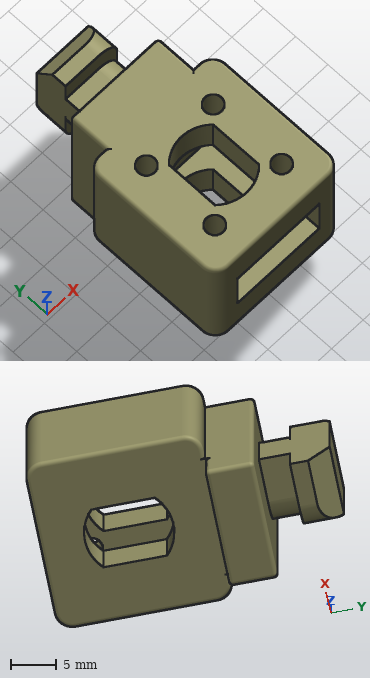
import cadquery as cq

block_width = 20.0
block_depth = 20.0
block_height = 16.0
corner_radius = 2.0
edge_radius = 0.5

tab_width = 14.0
tab_depth = 5.5
tab_height = 20.0

overall_depth = 33.5
hook_width = 8.2
hook_corner_radius = 3.0
head_depth = 4.5
head_height = 13.75
head_bevel_depth = 2.45
head_bevel_height = 3.0
neck_height = 7.45

pocket_width = 13.0
pocket_height = 6.0

opening_diameter = 10.0
opening_width = 7.0

screw_count = 4
screw_start_angle = 45
screw_diameter = 2.5
screw_circle_diameter = 15.0

top_z = block_height / 2
bottom_z = -top_z
tab_back_y = block_depth + tab_depth
head_front_y = overall_depth - head_depth
opening_y = block_depth / 2
pocket_depth = opening_y + pocket_width / 2
screw_depth = (block_height - pocket_height) / 2


def box(width, depth, height, front_y, low_z):
    """Box centred on X, starting at front_y and low_z."""
    solid = cq.Workplane("XY").box(width, depth, height, centered=(True, False, False))
    return solid.translate((0, front_y, low_z))


def make_housing():
    """Rounded block and upper tab sharing one top face, with the tab leg hanging below."""
    block = box(block_width, block_depth, block_height, 0, bottom_z)
    block = block.edges("|Z").fillet(corner_radius).faces("<Z").edges().fillet(edge_radius)
    upper_tab = box(tab_width, tab_back_y - opening_y, block_height, opening_y, bottom_z)
    upper_tab = upper_tab.edges("|Z and >Y").fillet(edge_radius)
    upper = block.union(upper_tab).faces(">Z").edges().fillet(edge_radius)

    leg = box(tab_width, tab_depth, tab_height - block_height, block_depth, top_z - tab_height)
    leg = leg.edges("|Z").fillet(edge_radius).faces("<Z").edges().fillet(edge_radius)
    return upper.union(leg)


def hook_bar(height, front_y, back_y):
    """Bar along Y with its upper +X and lower -X corners rounded."""
    bar = box(hook_width, back_y - front_y, height, front_y, -height / 2)
    bar = bar.edges("|Y and >X and >Z").fillet(hook_corner_radius)
    return bar.edges("|Y and <X and <Z").fillet(hook_corner_radius)


def make_hook():
    """Neck and head, the head bevelled towards its back face."""
    head = hook_bar(head_height, head_front_y, overall_depth)
    half_height = head_height / 2
    bevel_y = overall_depth - head_bevel_depth
    back_half_height = half_height - head_bevel_height
    bevelled_profile = (
        cq.Workplane("YZ")
        .polyline([
            (head_front_y, -half_height),
            (bevel_y, -half_height),
            (overall_depth, -back_half_height),
            (overall_depth, back_half_height),
            (bevel_y, half_height),
            (head_front_y, half_height),
        ])
        .close()
        .extrude(hook_width / 2, both=True)
    )
    neck = hook_bar(neck_height, tab_back_y - edge_radius, head_front_y)
    return head.intersect(bevelled_profile).union(neck)


def make_opening():
    """Round cutter through the full block height, narrowed by two flats."""
    cylinder = (
        cq.Workplane("XY", origin=(0, opening_y, bottom_z))
        .circle(opening_diameter / 2)
        .extrude(block_height)
    )
    return cylinder.intersect(box(opening_width, block_depth, block_height, 0, bottom_z))


def make_screw_holes():
    """Hole cutters from the top face, spread around the opening on the diagonals."""
    return (
        cq.Workplane("XY", origin=(0, opening_y, top_z))
        .polarArray(screw_circle_diameter / 2, screw_start_angle, 360, screw_count)
        .circle(screw_diameter / 2)
        .extrude(-screw_depth)
    )


pocket = box(pocket_width, pocket_depth, pocket_height, 0, -pocket_height / 2)

result = (
    make_housing()
    .union(make_hook())
    .cut(pocket)
    .cut(make_opening())
    .cut(make_screw_holes())
)